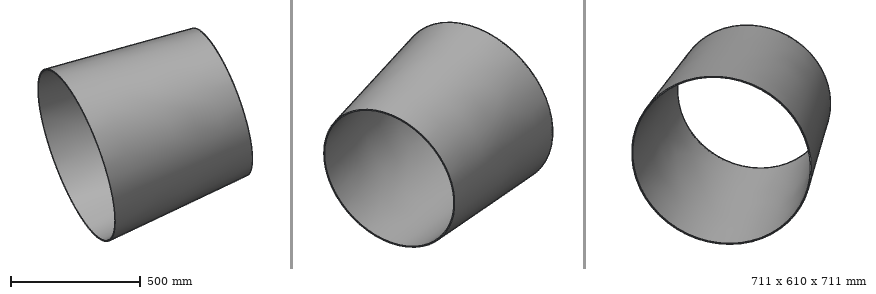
import cadquery as cq

large_diameter = 711.0
small_diameter = 609.5
length = 610.0
wall = 5.0

large_radius = large_diameter / 2
small_radius = small_diameter / 2
front_y = -length / 2
back_y = length / 2

wall_section = [
    (large_radius - wall, front_y),
    (large_radius, front_y),
    (small_radius, back_y),
    (small_radius - wall, back_y),
]

result = (
    cq.Workplane("XY")
    .polyline(wall_section)
    .close()
    .revolve(360, (0, 0, 0), (0, 1, 0))
)